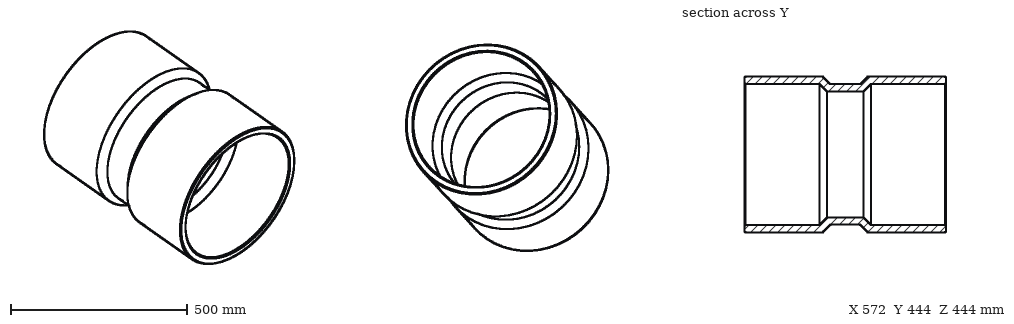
import cadquery as cq
import math

length = 572.0
socket_diameter = 444.0
neck_diameter = 401.0
bore_diameter = 400.0
neck_bore_diameter = 357.0
neck_length = 84.5
cone_angle = math.radians(45)
edge_chamfer = 3.0

socket_radius = socket_diameter / 2
neck_radius = neck_diameter / 2
bore_radius = bore_diameter / 2
neck_bore_radius = neck_bore_diameter / 2

half_length = length / 2
half_neck = neck_length / 2
wall = neck_radius - neck_bore_radius
half_inner_neck = half_neck + wall * math.tan(cone_angle / 2)
outer_cone_end = half_neck + (socket_radius - neck_radius) / math.tan(cone_angle)
inner_cone_end = half_inner_neck + (bore_radius - neck_bore_radius) / math.tan(cone_angle)


def revolve_about_x(points):
    """Turn a closed (x, radius) outline about the X axis."""
    return cq.Workplane("XY").polyline(points).close().revolve(360, (0, 0, 0), (1, 0, 0))


def mirrored(half_outline):
    """Extend an outline on the +X side to its mirror image on the -X side."""
    return [(-x, radius) for x, radius in reversed(half_outline)] + half_outline


outer_half = [
    (half_neck, neck_radius),
    (outer_cone_end, socket_radius),
    (half_length - edge_chamfer, socket_radius),
    (half_length, socket_radius - edge_chamfer),
]
inner_half = [
    (half_inner_neck, neck_bore_radius),
    (inner_cone_end, bore_radius),
    (half_length - edge_chamfer, bore_radius),
    (half_length, bore_radius + edge_chamfer),
]

result = revolve_about_x(mirrored(outer_half) + mirrored(inner_half)[::-1])